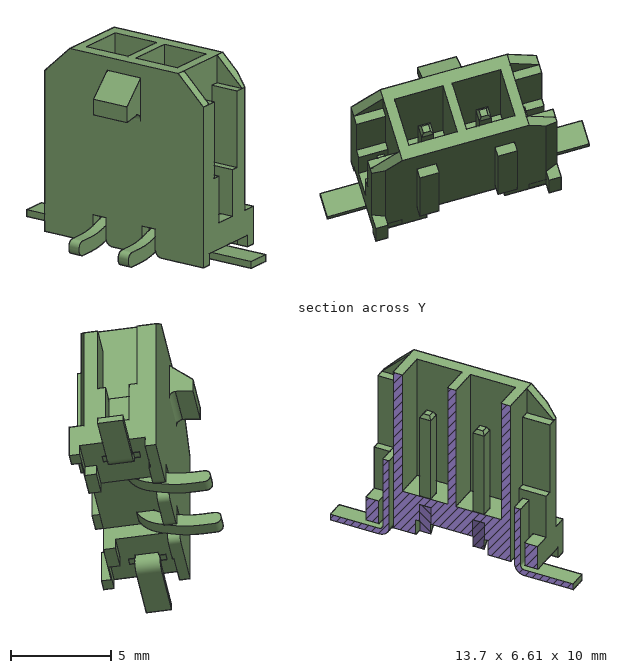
import cadquery as cq
import math


HEIGHT = 10.0
WIDTH = 9.66
DEPTH = 3.9
MID_DEPTH = DEPTH / 2
TOP_CHAMFER_HEIGHT = 1.47
EAR_LENGTH = 1.53
SHOULDER_X = WIDTH / 2 - EAR_LENGTH
REAR_BEVEL_X = 0.64
REAR_BEVEL_Y = 0.26

EAR_SLOT_STEPS = [
    (2.9, HEIGHT - TOP_CHAMFER_HEIGHT),
    (1.99, 4.48),
]
WELL_WIDTH = 1.19
WELL_FLOOR = 2.0
WELL_WALL = 0.74

REAR_STEP = 0.49
LEG_WIDTH = 0.64
RIB_WIDTH = 1.01
RIB_X = 2.03
RIB_TOP = 8.03

CHANNEL_HEIGHT = 0.61
CHANNEL_FRONT = 0.63
CHANNEL_REAR = 3.29
RELIEF_FRONT = 0.55
RELIEF_REAR = 3.86
POCKET_WIDTH = 4.04
POCKET_HEIGHT = 1.47
TAIL_SLOT_WIDTH = 0.79
TAIL_SLOT_ROUND = 0.4

PITCH = 3.0
CAVITY_SIZE = 2.53
CAVITY_FLOOR = 3.0

LATCH_WIDTH = 2.03
LATCH_REACH = 1.2
LATCH_TOP_DROP = 0.7
LATCH_RAMP_DROP = 1.88
LATCH_TIP_DROP = 2.72
LATCH_ROOT_DROP = 2.98
LATCH_HOLLOW_Y = 0.3
LATCH_HOLLOW_DROP = 2.57
LATCH_HOLLOW_MID_Y = 0.11
LATCH_HOLLOW_MID_DROP = 2.66

NAIL_SPAN = 13.65
NAIL_THICKNESS = 0.37
NAIL_FOOT_WIDTH = 1.28
NAIL_BEND = 0.22
NAIL_PLATE_X = WIDTH / 2 - 0.95
NAIL_SHOULDER_WIDTH = 1.9
NAIL_PLATE_WIDTH = 1.53
LEFT_NAIL_TOP = 4.6
RIGHT_NAIL_TOP = 3.96

PIN_SIZE = 0.63
PIN_TIP_SIZE = 0.37
PIN_TIP_HEIGHT = 0.2
PIN_TOP = 7.92
TAIL_REACH = 2.22
TAIL_FLAT_START = 1.2
TAIL_THICKNESS = 0.78
TAIL_ROUND = 0.33
TAIL_BEND = 3.82
TAIL_BEND_ANGLE = math.radians(18.5)
TAIL_INCLINE = 0.68

SIDES = (-1, 1)
PIN_XS = [side * PITCH / 2 for side in SIDES]


def block(x_range, y_range, z_range):
    """Box given by its limits along the three axes, in either order."""
    lows = [min(limits) for limits in (x_range, y_range, z_range)]
    sizes = [abs(limits[1] - limits[0]) for limits in (x_range, y_range, z_range)]
    return cq.Workplane("XY").box(*sizes, centered=False).translate(tuple(lows))


def centred(middle, size):
    """Limits of a length centred on a place."""
    return (middle - size / 2, middle + size / 2)


def make_shell():
    """Housing block with chamfered top corners and bevelled rear corners."""
    half = WIDTH / 2
    shoulder_z = HEIGHT - TOP_CHAMFER_HEIGHT
    outline = [
        (-half, 0),
        (half, 0),
        (half, shoulder_z),
        (SHOULDER_X, HEIGHT),
        (-SHOULDER_X, HEIGHT),
        (-half, shoulder_z),
    ]
    shell = cq.Workplane("XZ").polyline(outline).close().extrude(-DEPTH)
    for side in SIDES:
        bevel = [
            (side * half, DEPTH),
            (side * half, DEPTH - REAR_BEVEL_Y),
            (side * (half - REAR_BEVEL_X), DEPTH),
        ]
        wedge = cq.Workplane("XY").workplane(offset=WELL_FLOOR).polyline(bevel).close()
        shell = shell.cut(wedge.extrude(HEIGHT - WELL_FLOOR))
    return shell


def add_rear_supports(housing):
    """Short corner legs and tall ribs standing out from the rear face."""
    rear = (DEPTH, DEPTH + REAR_STEP)
    for side in SIDES:
        leg_x = (side * WIDTH / 2, side * (WIDTH / 2 - LEG_WIDTH))
        housing = housing.union(block(leg_x, rear, (0, WELL_FLOOR)))
        rib_x = centred(side * RIB_X, RIB_WIDTH)
        housing = housing.union(block(rib_x, rear, (WELL_FLOOR, RIB_TOP)))
    return housing


def cut_ear_slots(housing):
    """Stepped slots between the ears, each with an opening down to the board."""
    for side in SIDES:
        ear_x = (side * SHOULDER_X, side * WIDTH / 2)
        for width, floor in EAR_SLOT_STEPS + [(WELL_WIDTH, WELL_FLOOR)]:
            housing = housing.cut(block(ear_x, centred(MID_DEPTH, width), (floor, HEIGHT)))
        opening_x = (side * SHOULDER_X, side * (WIDTH / 2 - WELL_WALL))
        housing = housing.cut(block(opening_x, centred(MID_DEPTH, WELL_WIDTH), (0, WELL_FLOOR)))
    return housing


def cut_underside(housing):
    """Cross channel, wider end reliefs, and the rear-opening pocket over the pin tails."""
    full_x = centred(0, WIDTH)
    housing = housing.cut(block(full_x, (CHANNEL_FRONT, CHANNEL_REAR), (0, CHANNEL_HEIGHT)))
    for side in SIDES:
        ear_x = (side * SHOULDER_X, side * WIDTH / 2)
        housing = housing.cut(block(ear_x, (RELIEF_FRONT, RELIEF_REAR), (0, CHANNEL_HEIGHT)))
    return housing.cut(block(centred(0, POCKET_WIDTH), (CHANNEL_FRONT, DEPTH), (0, POCKET_HEIGHT)))


def cut_tail_slots(housing):
    """Front slots for the pin tails, flared by rounds at the board."""
    half = TAIL_SLOT_WIDTH / 2
    flare = half + TAIL_SLOT_ROUND
    inset = TAIL_SLOT_ROUND * (1 - math.sqrt(0.5))
    for x in PIN_XS:
        slot = (
            cq.Workplane("XZ")
            .moveTo(x - flare, 0)
            .threePointArc((x - half - inset, inset), (x - half, TAIL_SLOT_ROUND))
            .lineTo(x - half, POCKET_HEIGHT)
            .lineTo(x + half, POCKET_HEIGHT)
            .lineTo(x + half, TAIL_SLOT_ROUND)
            .threePointArc((x + half + inset, inset), (x + flare, 0))
            .close()
            .extrude(-CHANNEL_FRONT)
        )
        housing = housing.cut(slot)
    return housing


def cut_cavities(housing):
    """Square contact cavities, open at the top."""
    for x in PIN_XS:
        square = (centred(x, CAVITY_SIZE), centred(MID_DEPTH, CAVITY_SIZE))
        housing = housing.cut(block(*square, (CAVITY_FLOOR, HEIGHT)))
    return housing


def make_latch():
    """Ramp on the front face with a hollowed lower side."""
    return (
        cq.Workplane("YZ")
        .moveTo(0, HEIGHT - LATCH_TOP_DROP)
        .lineTo(-LATCH_REACH, HEIGHT - LATCH_RAMP_DROP)
        .lineTo(-LATCH_REACH, HEIGHT - LATCH_TIP_DROP)
        .lineTo(-LATCH_HOLLOW_Y, HEIGHT - LATCH_HOLLOW_DROP)
        .threePointArc(
            (-LATCH_HOLLOW_MID_Y, HEIGHT - LATCH_HOLLOW_MID_DROP),
            (0, HEIGHT - LATCH_ROOT_DROP),
        )
        .close()
        .extrude(LATCH_WIDTH / 2, both=True)
    )


def make_nail(side, top):
    """L-shaped solder nail: flat foot, bend, and an upright plate held in the ear."""
    bend_z = NAIL_THICKNESS + NAIL_BEND
    inner_x = NAIL_PLATE_X - NAIL_THICKNESS
    bend_centre_x = NAIL_PLATE_X + NAIL_BEND
    diagonal = math.sqrt(0.5)
    foot = (
        cq.Workplane("XZ")
        .moveTo(side * NAIL_SPAN / 2, 0)
        .lineTo(side * NAIL_SPAN / 2, NAIL_THICKNESS)
        .lineTo(side * bend_centre_x, NAIL_THICKNESS)
        .threePointArc(
            (side * (bend_centre_x - NAIL_BEND * diagonal), bend_z - NAIL_BEND * diagonal),
            (side * NAIL_PLATE_X, bend_z),
        )
        .lineTo(side * inner_x, bend_z)
        .threePointArc(
            (side * (bend_centre_x - bend_z * diagonal), bend_z - bend_z * diagonal),
            (side * bend_centre_x, 0),
        )
        .close()
        .extrude(NAIL_FOOT_WIDTH / 2, both=True)
        .translate((0, MID_DEPTH, 0))
    )
    plate_x = (side * inner_x, side * NAIL_PLATE_X)
    shoulders = block(plate_x, centred(MID_DEPTH, NAIL_SHOULDER_WIDTH), (bend_z, WELL_FLOOR))
    plate = block(plate_x, centred(MID_DEPTH, NAIL_PLATE_WIDTH), (WELL_FLOOR, top))
    return foot.union(shoulders).union(plate)


def tail_point(radius, angle):
    """Point (y, z) on the tail's bend, swept back and up from where the tail becomes flat."""
    y = -TAIL_FLAT_START + radius * math.sin(angle)
    z = TAIL_THICKNESS + TAIL_BEND - radius * math.cos(angle)
    return (y, z)


def incline_end(start):
    """Upper end of the straight incline that continues the tail's bend."""
    y = start[0] + TAIL_INCLINE * math.cos(TAIL_BEND_ANGLE)
    z = start[1] + TAIL_INCLINE * math.sin(TAIL_BEND_ANGLE)
    return (y, z)


def root_arc(start, end_y):
    """Middle and end of the arc that turns the tail from its slope to the upright post."""
    radius = (end_y - start[0]) / (1 - math.sin(TAIL_BEND_ANGLE))
    centre_y = end_y - radius
    centre_z = start[1] + radius * math.cos(TAIL_BEND_ANGLE)
    mid_angle = (TAIL_BEND_ANGLE + math.pi / 2) / 2
    middle = (centre_y + radius * math.sin(mid_angle), centre_z - radius * math.cos(mid_angle))
    return middle, (end_y, centre_z)


def make_pin(x):
    """Upright post with a tapered tip and a tail curving forward down to the board."""
    upper_radius = TAIL_BEND
    lower_radius = TAIL_BEND + TAIL_THICKNESS
    half_angle = TAIL_BEND_ANGLE / 2
    upper_bend_end = tail_point(upper_radius, TAIL_BEND_ANGLE)
    lower_bend_end = tail_point(lower_radius, TAIL_BEND_ANGLE)
    upper_incline_end = incline_end(upper_bend_end)
    lower_incline_end = incline_end(lower_bend_end)
    post_front, post_rear = centred(MID_DEPTH, PIN_SIZE)
    upper_root_middle, upper_root_end = root_arc(upper_incline_end, post_front)
    lower_root_middle, lower_root_end = root_arc(lower_incline_end, post_rear)
    taper_z = PIN_TOP - PIN_TIP_HEIGHT
    body = (
        cq.Workplane("YZ")
        .moveTo(-TAIL_REACH, 0)
        .lineTo(-TAIL_REACH, TAIL_THICKNESS)
        .lineTo(-TAIL_FLAT_START, TAIL_THICKNESS)
        .threePointArc(tail_point(upper_radius, half_angle), upper_bend_end)
        .lineTo(*upper_incline_end)
        .threePointArc(upper_root_middle, upper_root_end)
        .lineTo(post_front, taper_z)
        .lineTo(post_rear, taper_z)
        .lineTo(*lower_root_end)
        .threePointArc(lower_root_middle, lower_incline_end)
        .lineTo(*lower_bend_end)
        .threePointArc(tail_point(lower_radius, half_angle), (-TAIL_FLAT_START, 0))
        .close()
        .extrude(PIN_SIZE / 2, both=True)
        .faces("<Y")
        .edges("|X")
        .fillet(TAIL_ROUND)
    )
    tip = (
        cq.Workplane("XY", origin=(0, MID_DEPTH, taper_z))
        .rect(PIN_SIZE, PIN_SIZE)
        .workplane(offset=PIN_TIP_HEIGHT)
        .rect(PIN_TIP_SIZE, PIN_TIP_SIZE)
        .loft(ruled=True)
    )
    return body.union(tip).translate((x, 0, 0))


def make_housing(pins):
    """Complete housing with its nails, with a close-fitting passage for each pin."""
    housing = add_rear_supports(make_shell())
    housing = cut_ear_slots(housing)
    housing = cut_underside(housing)
    housing = cut_tail_slots(housing)
    housing = cut_cavities(housing)
    housing = housing.union(make_latch())
    for side, nail_top in zip(SIDES, (LEFT_NAIL_TOP, RIGHT_NAIL_TOP)):
        housing = housing.union(make_nail(side, nail_top))
    for pin in pins:
        housing = housing.cut(pin)
    return housing


pins = [make_pin(x) for x in PIN_XS]
housing = make_housing(pins)

result = cq.Compound.makeCompound([body.solids().val() for body in [housing, *pins]])